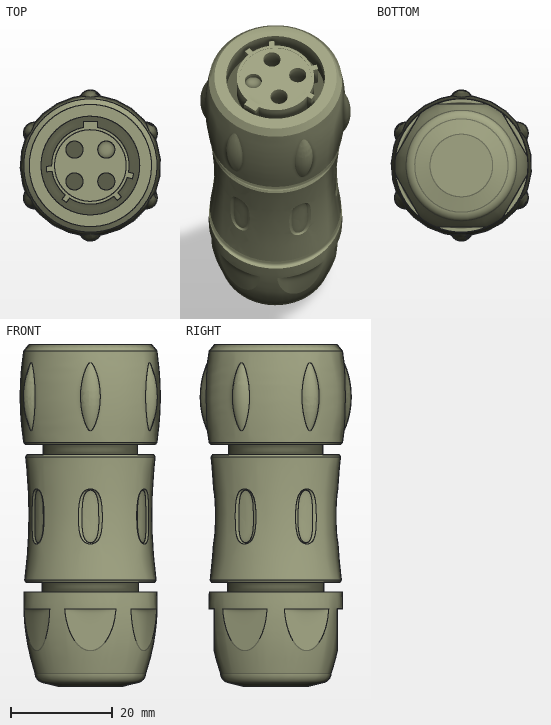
import cadquery as cq
import math

length = 67.15
dome_top_z = 0.75
taper_bottom_z = 2.6
flat_tip_z = 7.05
flat_top_z = 15.25
nut_top_z = 18.6
body_bottom_z = 20.45
body_top_z = 45.55
ring_bottom_z = 47.5

nut_radius = 13.06
flat_distance = 12.1
taper_bottom_radius = 10.86
dome_radius = 9.16
end_face_radius = 6.15
edge_round_bulge = 0.32

lower_neck_radius = 9.47
upper_neck_radius = 9.27
body_bottom_radius = 12.9
body_top_radius = 12.72
waist_radius = 12.07
waist_z = 33.4
bevel_width = 0.3
bevel_height = 0.45

ring_max_radius = 13.785
ring_edge_radius = 13.08
ring_top_radius = 12.0
ring_top_bevel_height = 1.27
ring_bottom_bevel = 0.38

grip_count = 6
grip_start_angle = 90
rib_peak_radius = 14.83
rib_cross_radius = 2.2
rib_half_length = 6.8
rib_end_radius = 13.35
dimple_half_width = 2.36
dimple_half_height = 5.15
dimple_floor_half_width = 1.68
dimple_floor_half_height = 5.0
dimple_depth = 0.35
dimple_cutter_reach = 0.5

socket_radius = 9.69
socket_depth = 5.0
insert_radius = 7.6
face_radius = 7.03
insert_recess = 0.15
face_recess = 0.1
key_radius = 8.63
main_key_width = 2.72
small_key_width = 1.07
main_key_angle = 90
small_key_angles = (184.7, 233.5, 311.2, 346.0)
contact_offset = 3.12
contact_radius = 1.68
contact_depth = 8.0
blocked_contact_depth = 1.3

overlap = 1.0


def revolve_about_z(profile):
    """Turn a (radius, height) profile drawn on the YZ plane about the Z axis."""
    return profile.close().revolve(360, (0, 0, 0), (0, 1, 0))


def around_axis(shape):
    """Copies of a shape built facing +X, one at each grip position."""
    step = 360 / grip_count
    return [
        shape.rotate((0, 0, 0), (0, 0, 1), grip_start_angle + index * step)
        for index in range(grip_count)
    ]


def clamping_nut():
    edge_middle_radius = (taper_bottom_radius + dome_radius) / 2 + edge_round_bulge
    edge_middle_z = (taper_bottom_z + dome_top_z) / 2 - edge_round_bulge
    nut = revolve_about_z(
        cq.Workplane("YZ")
        .lineTo(end_face_radius, 0)
        .lineTo(dome_radius, dome_top_z)
        .threePointArc((edge_middle_radius, edge_middle_z), (taper_bottom_radius, taper_bottom_z))
        .threePointArc((flat_distance, flat_tip_z), (nut_radius, nut_top_z))
        .lineTo(0, nut_top_z)
    )
    flat_depth = nut_radius - flat_distance + overlap
    flat_cutter = (
        cq.Workplane("XY")
        .box(flat_depth, 2 * nut_radius, flat_top_z, centered=(False, True, False))
        .translate((flat_distance, 0, 0))
    )
    for cutter in around_axis(flat_cutter):
        nut = nut.cut(cutter)
    return nut


def neck(radius, bottom, top):
    return cq.Workplane("XY").workplane(offset=bottom).circle(radius).extrude(top - bottom)


def waisted_solid(inset):
    """Grip body shape with its concave side moved inward by inset."""
    return revolve_about_z(
        cq.Workplane("YZ")
        .moveTo(0, body_bottom_z)
        .lineTo(body_bottom_radius - bevel_width - inset, body_bottom_z)
        .lineTo(body_bottom_radius - inset, body_bottom_z + bevel_height)
        .threePointArc(
            (waist_radius - inset, waist_z),
            (body_top_radius - inset, body_top_z - bevel_height),
        )
        .lineTo(body_top_radius - bevel_width - inset, body_top_z)
        .lineTo(0, body_top_z)
    )


def grip_body():
    mouth_x = math.sqrt(waist_radius**2 - dimple_half_width**2)
    floor_x = math.sqrt((waist_radius - dimple_depth) ** 2 - dimple_floor_half_width**2)
    taper_reach = dimple_cutter_reach / (mouth_x - floor_x)
    width_change = (dimple_half_width - dimple_floor_half_width) * taper_reach
    height_change = (dimple_half_height - dimple_floor_half_height) * taper_reach
    dimple = (
        cq.Workplane("YZ", origin=(mouth_x - dimple_cutter_reach, 0, waist_z))
        .ellipse(dimple_half_width - width_change, dimple_half_height - height_change)
        .workplane(offset=2 * dimple_cutter_reach)
        .ellipse(dimple_half_width + width_change, dimple_half_height + height_change)
        .loft(ruled=True)
        .cut(waisted_solid(dimple_depth))
    )
    body = waisted_solid(0)
    for cutter in around_axis(dimple):
        body = body.cut(cutter)
    return body


def coupling_ring():
    barrel_bottom_z = ring_bottom_z + ring_bottom_bevel
    barrel_top_z = length - ring_top_bevel_height
    barrel_middle_z = (barrel_bottom_z + barrel_top_z) / 2
    ring = revolve_about_z(
        cq.Workplane("YZ")
        .moveTo(0, ring_bottom_z)
        .lineTo(ring_edge_radius - ring_bottom_bevel, ring_bottom_z)
        .lineTo(ring_edge_radius, barrel_bottom_z)
        .threePointArc((ring_max_radius, barrel_middle_z), (ring_edge_radius, barrel_top_z))
        .lineTo(ring_top_radius, length)
        .lineTo(0, length)
    )
    rib_axis_radius = rib_peak_radius - rib_cross_radius
    spindle_end_radius = rib_end_radius - rib_axis_radius
    rib = revolve_about_z(
        cq.Workplane("YZ")
        .moveTo(0, -rib_half_length)
        .lineTo(spindle_end_radius, -rib_half_length)
        .threePointArc((rib_cross_radius, 0), (spindle_end_radius, rib_half_length))
        .lineTo(0, rib_half_length)
    ).translate((rib_axis_radius, 0, barrel_middle_z))
    for spindle in around_axis(rib):
        ring = ring.union(spindle)
    return ring


def insert_key(width, angle):
    """Rib on the side of the insert, reaching out to the key radius."""
    return (
        cq.Workplane("XY")
        .box(key_radius - face_radius, width, socket_depth - insert_recess, centered=(False, True, False))
        .translate((face_radius, 0, length - socket_depth))
        .rotate((0, 0, 0), (0, 0, 1), angle)
    )


def socket_cutter():
    """Round socket that leaves the keyed insert standing on its floor."""
    floor = cq.Workplane("XY").workplane(offset=length - socket_depth)
    keyed_insert = floor.circle(insert_radius).extrude(socket_depth - insert_recess)
    keyed_insert = keyed_insert.union(insert_key(main_key_width, main_key_angle))
    for angle in small_key_angles:
        keyed_insert = keyed_insert.union(insert_key(small_key_width, angle))
    return floor.circle(socket_radius).extrude(socket_depth).cut(keyed_insert)


def contact_cutter():
    """Shallow recess in the insert face with four blind contact holes."""
    face = cq.Workplane("XY").workplane(offset=length - insert_recess)
    cutter = face.circle(face_radius).extrude(-face_recess)
    for x_side in (-1, 1):
        for y_side in (-1, 1):
            blocked = x_side > 0 and y_side > 0
            depth = blocked_contact_depth if blocked else contact_depth
            center = (x_side * contact_offset, y_side * contact_offset)
            cutter = cutter.union(face.center(*center).circle(contact_radius).extrude(-depth))
    return cutter


result = (
    clamping_nut()
    .union(neck(lower_neck_radius, nut_top_z - overlap, body_bottom_z + overlap))
    .union(grip_body())
    .union(neck(upper_neck_radius, body_top_z - overlap, ring_bottom_z + overlap))
    .union(coupling_ring())
    .cut(socket_cutter())
    .cut(contact_cutter())
)